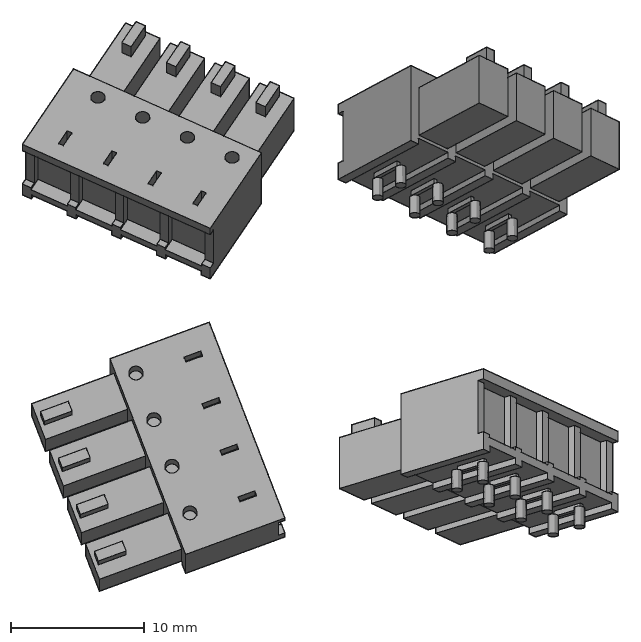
import cadquery as cq

POLES = 4
PITCH = 3.82
POLE_XS = [(i - (POLES - 1) / 2) * PITCH for i in range(POLES)]

HOUSING_WIDTH = 16.03
HOUSING_DEPTH = 7.93
HOUSING_HEIGHT = 6.5

LIP_HEIGHT = 0.82
BAND_DEPTH = 0.51
BAND_BOTTOM = 1.41
WINDOW_WIDTH = 3.11
WINDOW_DEPTH = 1.09
WINDOW_BOTTOM = 1.17
RELIEF_TOP = HOUSING_HEIGHT - LIP_HEIGHT

CHANNEL_WIDTH = 3.03
CHANNEL_HEIGHT = 0.5

TEST_HOLE_DIAMETER = 1.05
TEST_HOLE_DEPTH = 1.6
TEST_HOLE_OFFSET = 0.58
TEST_HOLE_Y = 6.51
SLOT_WIDTH = 0.4
SLOT_LENGTH = 1.33
SLOT_DEPTH = 1.6
SLOT_FRONT = 1.38

LEVER_WIDTH = 2.93
LEVER_LENGTH = 6.57
LEVER_HEIGHT = 4.12
LEVER_BOTTOM = 0.79
NUB_WIDTH = 0.8
NUB_LENGTH = 2.21
NUB_HEIGHT = 1.28
NUB_END_GAP = 0.32

PIN_DIAMETER = 0.8
PIN_PROTRUSION = 1.46
PIN_TOP = 0.06
FRONT_PIN_Y = 1.88
PIN_SPACING = 2.52
PLATE_THICKNESS = 0.3

PLATE_OFFSET = (PIN_DIAMETER - PLATE_THICKNESS) / 2


def block(x_center, width, y_start, length, z_bottom, height):
    """Box centred on x_center that grows from y_start toward +Y and from z_bottom upward."""
    return (
        cq.Workplane("XY")
        .box(width, length, height, centered=(True, False, False))
        .translate((x_center, y_start, z_bottom))
    )


def cylinder(x, y, z_bottom, diameter, height):
    """Upright cylinder standing on z_bottom."""
    return cq.Workplane("XY").circle(diameter / 2).extrude(height).translate((x, y, z_bottom))


def make_housing():
    body = block(0, HOUSING_WIDTH, 0, HOUSING_DEPTH, 0, HOUSING_HEIGHT)
    band = block(0, HOUSING_WIDTH, 0, BAND_DEPTH, BAND_BOTTOM, RELIEF_TOP - BAND_BOTTOM)
    body = body.cut(band)
    for x in POLE_XS:
        window = block(x, WINDOW_WIDTH, 0, WINDOW_DEPTH, WINDOW_BOTTOM, RELIEF_TOP - WINDOW_BOTTOM)
        channel = block(x, CHANNEL_WIDTH, 0, HOUSING_DEPTH, 0, CHANNEL_HEIGHT)
        test_hole = cylinder(
            x + TEST_HOLE_OFFSET,
            TEST_HOLE_Y,
            HOUSING_HEIGHT - TEST_HOLE_DEPTH,
            TEST_HOLE_DIAMETER,
            TEST_HOLE_DEPTH,
        )
        slot = block(
            x + PLATE_OFFSET,
            SLOT_WIDTH,
            SLOT_FRONT,
            SLOT_LENGTH,
            HOUSING_HEIGHT - SLOT_DEPTH,
            SLOT_DEPTH,
        )
        body = body.cut(window).cut(channel).cut(test_hole).cut(slot)
    return body


def make_lever(x):
    """Push lever that butts against the back of the housing, with a nub near its free end."""
    bar = block(x, LEVER_WIDTH, HOUSING_DEPTH, LEVER_LENGTH, LEVER_BOTTOM, LEVER_HEIGHT)
    nub_start = HOUSING_DEPTH + LEVER_LENGTH - NUB_END_GAP - NUB_LENGTH
    nub = block(x, NUB_WIDTH, nub_start, NUB_LENGTH, LEVER_BOTTOM + LEVER_HEIGHT, NUB_HEIGHT)
    return bar.union(nub)


def make_contact(x):
    """Plate against the roof of the channel, running from one pin centre to the other."""
    contact = block(
        x + PLATE_OFFSET,
        PLATE_THICKNESS,
        FRONT_PIN_Y,
        PIN_SPACING,
        PIN_TOP,
        CHANNEL_HEIGHT - PIN_TOP,
    )
    for y in (FRONT_PIN_Y, FRONT_PIN_Y + PIN_SPACING):
        pin = cylinder(x, y, -PIN_PROTRUSION, PIN_DIAMETER, PIN_PROTRUSION + PIN_TOP)
        contact = contact.union(pin)
    return contact


housing = make_housing()
levers = [make_lever(x) for x in POLE_XS]
contacts = [make_contact(x) for x in POLE_XS]

result = cq.Compound.makeCompound([body.val() for body in [housing, *levers, *contacts]])